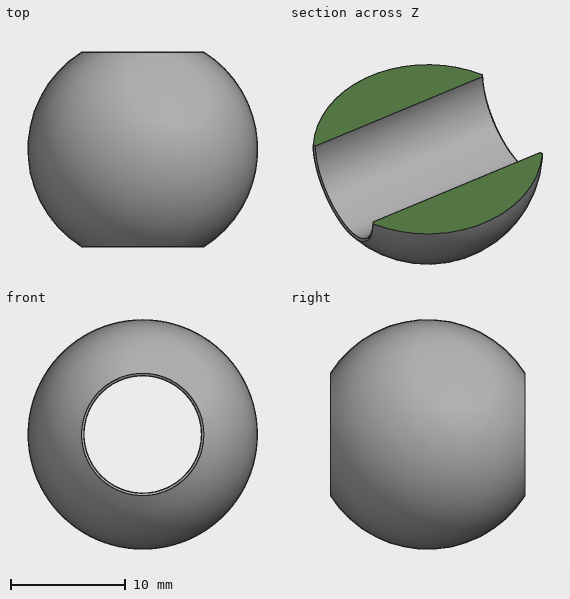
import cadquery as cq
import math

ball_radius = 10.0
bore_diameter = 10.2
chamfer_width = 0.22
chamfer_depth = 0.12

bore_radius = bore_diameter / 2
mouth_radius = bore_radius + chamfer_width
mouth_y = math.sqrt(ball_radius**2 - mouth_radius**2)
bore_end_y = mouth_y - chamfer_depth

half_section = (
    cq.Workplane("XY")
    .moveTo(bore_radius, -bore_end_y)
    .lineTo(mouth_radius, -mouth_y)
    .threePointArc((ball_radius, 0), (mouth_radius, mouth_y))
    .lineTo(bore_radius, bore_end_y)
    .close()
)

result = half_section.revolve(360, (0, 0, 0), (0, 1, 0))